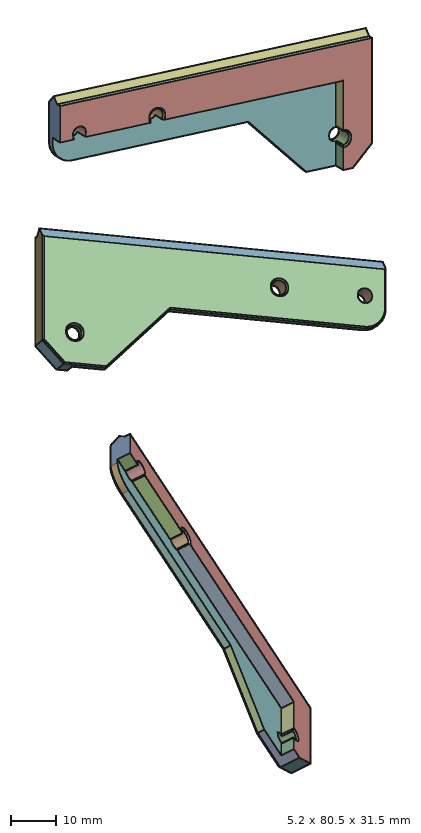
import cadquery as cq
import math

length = 80.5
height = 31.5
thickness = 5.2

arm_bottom = 15.0
corner_cut = 5.0
corner_radius = 5.0
foot_start = length - 15.05
edge_chamfer = 0.3

ridge_x = 2.5
groove_depth = 1.45

plate_thickness = 2.0
bar_bottom = 21.3
leg_width = 7.5

hole_diameter = 3.4
hole_inset = 7.5
hole_chamfer = 0.4
flare_size = 0.3
arm_hole_z = arm_bottom + hole_inset
middle_hole_y = 25.0
end_hole_y = 5.0


def plate_blank():
    """Full-thickness block with the outline of the plate and a chamfered -X face."""
    outline = (
        cq.Workplane("YZ")
        .moveTo(0, height)
        .lineTo(0, arm_bottom + corner_radius)
        .radiusArc((corner_radius, arm_bottom), -corner_radius)
        .lineTo(foot_start - arm_bottom, arm_bottom)
        .lineTo(foot_start, 0)
        .lineTo(length - corner_cut, 0)
        .lineTo(length, corner_cut)
        .lineTo(length, height)
        .close()
    )
    return outline.extrude(thickness).faces("<X").chamfer(edge_chamfer)


def ridge_profile():
    """Cross-section with 45 degree flanks meeting in a ridge at the top."""
    return (
        cq.Workplane("XZ")
        .moveTo(0, 0)
        .lineTo(0, height - ridge_x)
        .lineTo(ridge_x, height)
        .lineTo(ridge_x + groove_depth, height - groove_depth)
        .lineTo(thickness, height - groove_depth)
        .lineTo(thickness, 0)
        .close()
        .extrude(-length)
    )


def back_relief():
    """Pocket behind the arm, open at the bottom and at the -Y end."""
    depth = thickness - plate_thickness
    pocket = cq.Workplane("XY").box(depth, length - leg_width, bar_bottom, centered=False)
    return pocket.translate((plate_thickness, 0, 0))


def hole(y, z):
    """Cylinder through the full thickness."""
    return cq.Workplane("YZ").center(y, z).circle(hole_diameter / 2).extrude(thickness)


def chamfered_hole(y, z):
    """Through hole widened by a 45 degree chamfer at both faces."""
    mouth_radius = hole_diameter / 2 + hole_chamfer
    center = cq.Workplane("YZ").center(y, z)
    front_mouth = center.circle(mouth_radius).extrude(hole_chamfer, taper=45)
    back_mouth = front_mouth.mirror("YZ").translate((thickness, 0, 0))
    return hole(y, z).union(front_mouth).union(back_mouth)


def edge_flare(offset):
    """Wedge along X that chamfers the edges where a flat cuts a hole open at an offset from its axis.

    The flat is the XY plane and the hole lies above it.
    """
    half_throat = math.sqrt((hole_diameter / 2) ** 2 - offset**2)
    half_mouth = half_throat + flare_size
    return (
        cq.Workplane("YZ", origin=(plate_thickness, 0, 0))
        .moveTo(-half_mouth, 0)
        .lineTo(-half_throat, flare_size)
        .lineTo(half_throat, flare_size)
        .lineTo(half_mouth, 0)
        .close()
        .extrude(thickness - plate_thickness)
    )


def bar_flare(y):
    """Flare in the underside of the bar."""
    return edge_flare(arm_hole_z - bar_bottom).translate((0, y, bar_bottom))


def leg_flare(z):
    """Flare in the -Y face of the leg."""
    flare = edge_flare(leg_width - hole_inset).rotate((0, 0, 0), (1, 0, 0), -90)
    return flare.translate((0, length - leg_width, z))


result = (
    plate_blank()
    .intersect(ridge_profile())
    .cut(back_relief())
    .cut(chamfered_hole(length - hole_inset, hole_inset))
    .cut(leg_flare(hole_inset))
    .cut(chamfered_hole(middle_hole_y, arm_hole_z))
    .cut(hole(end_hole_y, arm_hole_z))
    .cut(bar_flare(middle_hole_y))
    .cut(bar_flare(end_hole_y))
)